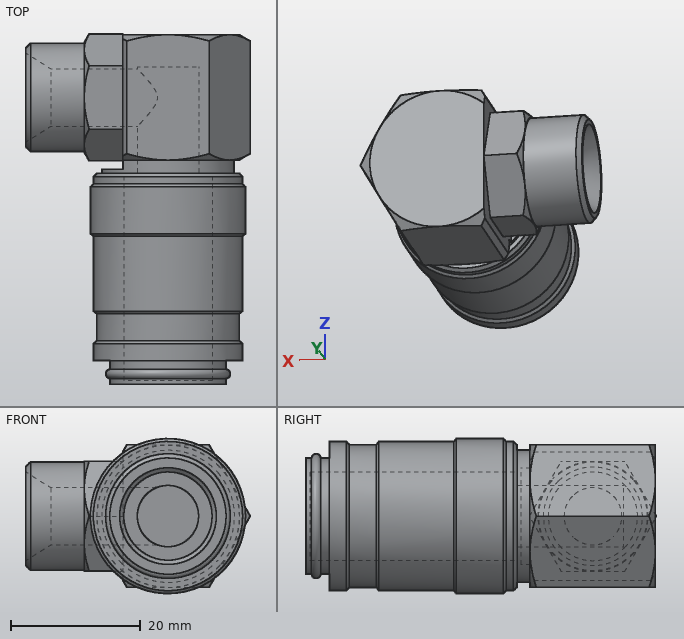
import cadquery as cq
import math


body_flats = 22.0
body_half_length = 9.7
body_cut_x = -7.0

port_hex_flats = 17.0
port_hex_x = -12.95
port_end_x = -21.95
port_radius = 8.4
port_chamfer = 0.75
port_mouth_radius = 6.9
port_bore_radius = 4.45
port_cone_length = 3.85

overall_length = 54.1
neck_radius = 10.25
neck_flat_end_y = -11.1
sleeve_start_y = -11.7
collar_start_y = -13.35
collar_end_y = -21.05
groove_start_y = -33.0
groove_end_y = -38.05
sleeve_end_y = -40.65
spigot_end_y = port_hex_flats / 2 / math.cos(math.radians(30)) - overall_length
collar_radius = 24.0 / 2
sleeve_radius = 11.55
groove_radius = 11.05
spigot_radius = 9.0
sleeve_chamfer = 0.55
step_chamfer = 0.4

ring_center_y = -42.7
ring_section_radius = 1.45 / 2
ring_outer_radius = 9.65

sleeve_bore_radius = 6.8
sleeve_mouth_radius = 7.45
passage_radius = 9.45 / 2
passage_end_y = passage_radius

hex_chamfer_slope = math.tan(math.radians(30))


def revolve_about_y(points):
    return cq.Workplane("XY").polyline(points).close().revolve(360, (0, 0, 0), (0, 1, 0))


def revolve_about_x(points):
    return cq.Workplane("XY").polyline(points).close().revolve(360, (0, 0, 0), (1, 0, 0))


def make_body():
    """Hexagonal prism along Y with both ends turned to a 30 degree chamfer."""
    apothem = body_flats / 2
    corner = apothem / math.cos(math.radians(30))
    chamfer_length = (corner - apothem) * hex_chamfer_slope
    prism = (
        cq.Workplane("XZ", origin=(0, body_half_length, 0))
        .polygon(6, 2 * corner)
        .extrude(2 * body_half_length)
    )
    envelope = revolve_about_y([
        (0, body_half_length),
        (apothem, body_half_length),
        (corner, body_half_length - chamfer_length),
        (corner, chamfer_length - body_half_length),
        (apothem, -body_half_length),
        (0, -body_half_length),
    ])
    return prism.intersect(envelope)


def make_port():
    """Hexagon with one chamfered end, carrying a round port stub."""
    apothem = port_hex_flats / 2
    corner = apothem / math.cos(math.radians(30))
    chamfer_length = (corner - apothem) * hex_chamfer_slope
    hexagon = cq.Workplane("YZ", origin=(port_hex_x, 0, 0)).polygon(6, 2 * corner).extrude(-port_hex_x)
    envelope = revolve_about_x([
        (port_hex_x, 0),
        (port_hex_x, apothem),
        (port_hex_x + chamfer_length, corner),
        (0, corner),
        (0, 0),
    ])
    stub = (
        cq.Workplane("YZ", origin=(port_end_x, 0, 0))
        .circle(port_radius)
        .extrude(-port_end_x)
        .faces("<X")
        .chamfer(port_chamfer)
    )
    keep = (
        cq.Workplane("XY")
        .box(body_cut_x - port_end_x, 2 * corner, 2 * corner, centered=(False, True, True))
        .translate((port_end_x, 0, 0))
    )
    return hexagon.intersect(envelope).union(stub).intersect(keep)


def make_neck():
    return cq.Workplane("XZ").circle(neck_radius).extrude(-neck_flat_end_y)


def make_sleeve():
    """Stepped outside profile from the neck to the open end of the spigot."""
    collar_step = collar_radius - sleeve_radius
    groove_step = sleeve_radius - groove_radius
    return revolve_about_y([
        (0, neck_flat_end_y),
        (neck_radius, neck_flat_end_y),
        (neck_radius, sleeve_start_y),
        (sleeve_radius - sleeve_chamfer, sleeve_start_y),
        (sleeve_radius, sleeve_start_y - sleeve_chamfer),
        (sleeve_radius, collar_start_y),
        (collar_radius, collar_start_y - collar_step),
        (collar_radius, collar_end_y),
        (sleeve_radius, collar_end_y - step_chamfer),
        (sleeve_radius, groove_start_y),
        (groove_radius, groove_start_y - step_chamfer),
        (groove_radius, groove_end_y + groove_step),
        (sleeve_radius, groove_end_y),
        (sleeve_radius, sleeve_end_y),
        (spigot_radius, sleeve_end_y),
        (spigot_radius, spigot_end_y),
        (0, spigot_end_y),
    ])


def make_ring():
    center_radius = ring_outer_radius - ring_section_radius
    return (
        cq.Workplane("XY")
        .center(center_radius, ring_center_y)
        .circle(ring_section_radius)
        .revolve(360, (-center_radius, 0, 0), (-center_radius, 1, 0))
    )


def make_passages():
    """Stepped bore along the sleeve meeting the conical port bore."""
    mouth_chamfer = sleeve_mouth_radius - sleeve_bore_radius
    sleeve_bore = revolve_about_y([
        (0, spigot_end_y),
        (sleeve_mouth_radius, spigot_end_y),
        (sleeve_bore_radius, spigot_end_y + mouth_chamfer),
        (sleeve_bore_radius, sleeve_start_y),
        (passage_radius, sleeve_start_y),
        (passage_radius, passage_end_y),
        (0, passage_end_y),
    ])
    port_bore = revolve_about_x([
        (port_end_x, 0),
        (port_end_x, port_mouth_radius),
        (port_end_x + port_cone_length, port_bore_radius),
        (0, port_bore_radius),
        (0, 0),
    ])
    return sleeve_bore.union(port_bore)


def make_trim():
    """Block removing the port side of the body and neck beyond the trimming plane."""
    length = body_half_length - neck_flat_end_y
    return (
        cq.Workplane("XY")
        .box(collar_radius, length, 2 * collar_radius, centered=(False, False, True))
        .translate((body_cut_x - collar_radius, neck_flat_end_y, 0))
    )


elbow = make_body().union(make_neck()).cut(make_trim()).union(make_port())
result = elbow.union(make_sleeve()).union(make_ring()).cut(make_passages())